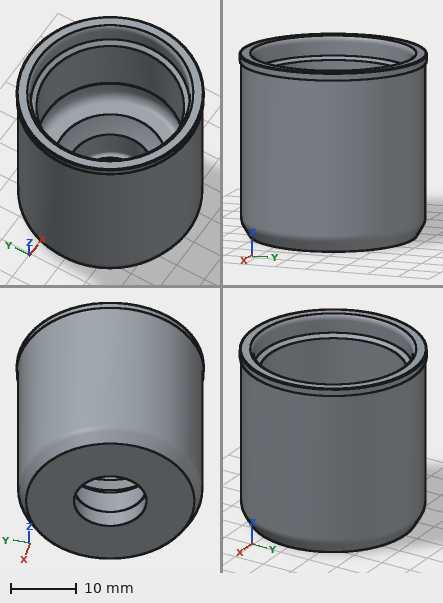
import cadquery as cq
import math

height = 28.1
body_radius = 28.0 / 2
flange_radius = 28.4 / 2
flange_depth = 1.2
flange_blend_height = 0.35
rim_chamfer = 0.15

taper_angle = math.radians(30)
taper_height = 2.13
taper_round = 2.0

entry_radius = 24.15 / 2
neck_radius = 22.38 / 2
mouth_radius = 25.22 / 2
mouth_depth = 0.88
shoulder_depth = 2.98
shoulder_angle = math.radians(30)
neck_end_depth = 13.2
undercut_angle = math.radians(30)
floor_depth = 17.8
floor_fillet = 1.5

seat_radius = 17.1 / 2
seat_sphere_radius = 10.0
lower_bore_radius = 13.0 / 2
web_thickness = 3.0
web_fillet = 0.4
hole_radius = 11.0 / 2
hole_chamfer = 0.1


def tangent_arc_mid(radial_step, axial_step):
    """Midpoint offset of an arc that starts parallel to the axis.

    The steps run from the tangent end to the other end of the arc.
    """
    sweep = 2 * math.atan2(radial_step, axial_step)
    radius = axial_step / math.sin(sweep)
    return radius * (1 - math.cos(sweep / 2)), radius * math.sin(sweep / 2)


def revolve(profile):
    return profile.close().revolve(360, (0, 0, 0), (0, 1, 0))


def outer_body():
    """Solid sleeve body with its top flange and tapered lower end."""
    bottom_radius = body_radius - taper_height * math.tan(taper_angle)
    tangent_length = taper_round * math.tan(taper_angle / 2)
    round_bottom = (
        body_radius - tangent_length * math.sin(taper_angle),
        taper_height - tangent_length * math.cos(taper_angle),
    )
    round_mid = (
        body_radius - taper_round * (1 - math.cos(taper_angle / 2)),
        taper_height + tangent_length - taper_round * math.sin(taper_angle / 2),
    )
    flange_bottom = height - flange_depth
    blend_bottom = flange_bottom - flange_blend_height
    mid_out, mid_up = tangent_arc_mid(flange_radius - body_radius, flange_blend_height)
    profile = (
        cq.Workplane("XZ")
        .lineTo(bottom_radius, 0)
        .lineTo(*round_bottom)
        .threePointArc(round_mid, (body_radius, taper_height + tangent_length))
        .lineTo(body_radius, blend_bottom)
        .threePointArc((body_radius + mid_out, blend_bottom + mid_up), (flange_radius, flange_bottom))
        .lineTo(flange_radius, height - rim_chamfer)
        .lineTo(flange_radius - rim_chamfer, height)
        .lineTo(0, height)
    )
    return revolve(profile)


def upper_bore():
    """Rounded mouth, conical shoulder, neck and undercut chamber."""
    step = entry_radius - neck_radius
    shoulder_top = height - shoulder_depth
    shoulder_bottom = shoulder_top - step * math.tan(shoulder_angle)
    neck_end = height - neck_end_depth
    undercut_bottom = neck_end - step / math.tan(undercut_angle)
    floor = height - floor_depth
    mouth_bottom = height - mouth_depth
    mid_out, mid_up = tangent_arc_mid(mouth_radius - entry_radius, mouth_depth)
    fillet_mid_offset = floor_fillet * (1 - math.cos(math.pi / 4))
    profile = (
        cq.Workplane("XZ")
        .moveTo(0, height)
        .lineTo(mouth_radius, height)
        .threePointArc((entry_radius + mid_out, mouth_bottom + mid_up), (entry_radius, mouth_bottom))
        .lineTo(entry_radius, shoulder_top)
        .lineTo(neck_radius, shoulder_bottom)
        .lineTo(neck_radius, neck_end)
        .lineTo(entry_radius, undercut_bottom)
        .lineTo(entry_radius, floor + floor_fillet)
        .threePointArc(
            (entry_radius - fillet_mid_offset, floor + fillet_mid_offset),
            (entry_radius - floor_fillet, floor),
        )
        .lineTo(0, floor)
    )
    return revolve(profile)


def seat_and_hole():
    """Spherical seat in the chamber floor, lower bore and through hole."""
    floor = height - floor_depth
    sphere_center = floor + math.sqrt(seat_sphere_radius**2 - seat_radius**2)

    def seat_height(radius):
        return sphere_center - math.sqrt(seat_sphere_radius**2 - radius**2)

    seat_mid_radius = (seat_radius + lower_bore_radius) / 2
    fillet_mid_offset = web_fillet * (1 - math.cos(math.pi / 4))
    profile = (
        cq.Workplane("XZ")
        .lineTo(hole_radius, 0)
        .lineTo(hole_radius, web_thickness - hole_chamfer)
        .lineTo(hole_radius + hole_chamfer, web_thickness)
        .lineTo(lower_bore_radius - web_fillet, web_thickness)
        .threePointArc(
            (lower_bore_radius - fillet_mid_offset, web_thickness + fillet_mid_offset),
            (lower_bore_radius, web_thickness + web_fillet),
        )
        .lineTo(lower_bore_radius, seat_height(lower_bore_radius))
        .threePointArc((seat_mid_radius, seat_height(seat_mid_radius)), (seat_radius, floor))
        .lineTo(0, floor)
    )
    return revolve(profile)


result = outer_body().cut(upper_bore()).cut(seat_and_hole())